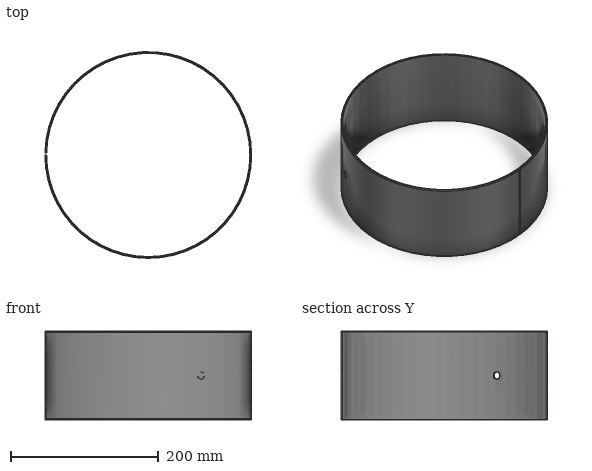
import cadquery as cq
import math

outer_diameter = 280
height = 120.0
wall = 2.5
outer_radius = outer_diameter / 2
inner_radius = outer_radius - wall

outer_bevel_height = 2.0
outer_bevel_depth = 0.7

inner_chamfer = 0.8

slit_width = 2.5

hole_diameter = 10.0
hole_angle = 59


def ring_body():
    """Revolve the wall section, with all four rims bevelled, about Z."""
    top = height / 2
    bottom = -top
    section = [
        (inner_radius, bottom + inner_chamfer),
        (inner_radius + inner_chamfer, bottom),
        (outer_radius - outer_bevel_depth, bottom),
        (outer_radius, bottom + outer_bevel_height),
        (outer_radius, top - outer_bevel_height),
        (outer_radius - outer_bevel_depth, top),
        (inner_radius + inner_chamfer, top),
        (inner_radius, top - inner_chamfer),
    ]
    return cq.Workplane("XZ").polyline(section).close().revolve(360, (0, 0), (0, 1))


def slit_cutter():
    """Full-height block reaching from the axis out through the -X wall."""
    block = cq.Workplane("XY").box(outer_diameter, slit_width, height, centered=(True, False, True))
    return block.translate((-outer_radius, 0, 0))


def hole_cutter():
    """Cylinder running from the axis out through the wall at the hole angle."""
    angle = math.radians(hole_angle)
    direction = cq.Vector(math.cos(angle), math.sin(angle), 0)
    cylinder = cq.Solid.makeCylinder(hole_diameter / 2, outer_diameter, cq.Vector(0, 0, 0), direction)
    return cq.Workplane(obj=cylinder)


result = ring_body().cut(slit_cutter()).cut(hole_cutter())